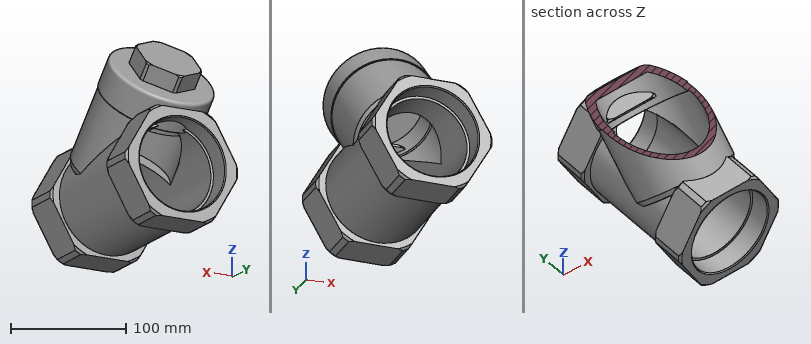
import cadquery as cq
import math

run_length = 170.0
run_diameter = 95.0
bore_diameter = 80.0
socket_diameter = 85.0
socket_depth = 21.0
socket_chamfer = 1.0

end_hex_flats = 100.0
end_hex_corners = 112.0
end_hex_length = 36.0
end_hex_chamfer = 2.0

branch_angle = 45.0
branch_axis_height = 41.3
branch_diameter = 96.0
branch_start = -2.0
branch_taper_length = 5.2
branch_taper_step = 1.9
cavity_start = 3.5

cap_diameter = 98.0
cap_bottom = 68.5
cap_top = 98.0
cap_fillet = 3.0
cap_chamfer = 0.7
skirt_bottom = 62.0
skirt_thickness = 1.7
cap_thickness = 7.0

head_flats = 55.0
head_corners = 61.5
head_height = 17.0
head_chamfer = 1.2

end_face = run_length / 2
branch_end = cap_bottom
axis_tilt = math.radians(branch_angle)

axis_offset = branch_axis_height * math.cos(axis_tilt)
branch_plane = cq.Plane(
    origin=(0, -axis_offset * math.sin(axis_tilt), axis_offset * math.cos(axis_tilt)),
    xDir=(1, 0, 0),
    normal=(0, math.cos(axis_tilt), math.sin(axis_tilt)),
)
run_plane = cq.Plane(origin=(0, 0, 0), xDir=(1, 0, 0), normal=(0, 1, 0))

upper_rim = cq.selectors.DirectionMinMaxSelector(branch_plane.zDir, True)
lower_rim = cq.selectors.DirectionMinMaxSelector(branch_plane.zDir, False)


def cylinder(plane, diameter, start, end):
    return cq.Workplane(plane).workplane(offset=start).circle(diameter / 2).extrude(end - start)


def turned_hexagon(plane, flats, corners, start, end, chamfer, chamfered_edges, turn=0):
    """Hexagonal prism whose corners are turned down to a chamfered cylinder."""
    full_corners = flats / math.cos(math.pi / 6)
    prism = (
        cq.Workplane(plane)
        .workplane(offset=start)
        .transformed(rotate=(0, 0, turn))
        .polygon(6, full_corners)
        .extrude(end - start)
    )
    turned = cylinder(plane, corners, start, end).edges(chamfered_edges).chamfer(chamfer)
    return prism.intersect(turned)


def make_run():
    run = cylinder(run_plane, run_diameter, -end_face, end_face)
    for start in (-end_face, end_face - end_hex_length):
        end_hex = turned_hexagon(
            run_plane, end_hex_flats, end_hex_corners, start, start + end_hex_length, end_hex_chamfer,
            "%CIRCLE",
        )
        run = run.union(end_hex)
    return run


def make_branch():
    barrel = cylinder(branch_plane, branch_diameter, branch_start, branch_end)
    taper = (
        cq.Workplane(branch_plane)
        .workplane(offset=branch_start)
        .circle(branch_diameter / 2)
        .workplane(offset=-branch_taper_length)
        .circle(branch_diameter / 2 - branch_taper_step)
        .loft()
    )
    hex_zone = cq.Workplane("XY").box(end_hex_corners, end_hex_length, run_length)
    hex_zone = hex_zone.translate((0, (end_hex_length - run_length) / 2, 0))
    runout = cylinder(branch_plane, branch_diameter, branch_start - branch_taper_length, branch_start)
    return barrel.union(taper).union(runout.intersect(hex_zone))


def make_run_bore():
    """Through bore with a chamfered socket in each end."""
    bore = cylinder(run_plane, bore_diameter, -end_face, end_face)
    mouth_radius = socket_diameter / 2 + socket_chamfer
    half_socket = (
        cq.Workplane("XY")
        .moveTo(0, end_face)
        .lineTo(mouth_radius, end_face)
        .lineTo(socket_diameter / 2, end_face - socket_chamfer)
        .lineTo(socket_diameter / 2, end_face - socket_depth)
        .lineTo(0, end_face - socket_depth)
        .close()
    )
    socket = half_socket.revolve(360, (0, 0, 0), (0, 1, 0))
    return bore.union(socket).union(socket.mirror("XZ"))


def make_cap():
    """Cap with a hexagonal head and a thin skirt reaching down into the branch."""
    cap = cylinder(branch_plane, cap_diameter, cap_bottom, cap_top)
    cap = cap.edges(upper_rim).fillet(cap_fillet)
    cap = cap.edges(lower_rim).chamfer(cap_chamfer)
    skirt = cylinder(branch_plane, socket_diameter, skirt_bottom, cap_top)
    hollow = cylinder(
        branch_plane, socket_diameter - 2 * skirt_thickness, skirt_bottom, cap_top - cap_thickness
    )
    head = turned_hexagon(
        branch_plane, head_flats, head_corners, cap_top, cap_top + head_height, head_chamfer,
        upper_rim, turn=30,
    )
    return cap.union(skirt).union(head).cut(hollow)


cavity = cylinder(branch_plane, socket_diameter, cavity_start, branch_end)
body = make_run().union(make_branch()).cut(make_run_bore()).cut(cavity)
result = body.union(make_cap())